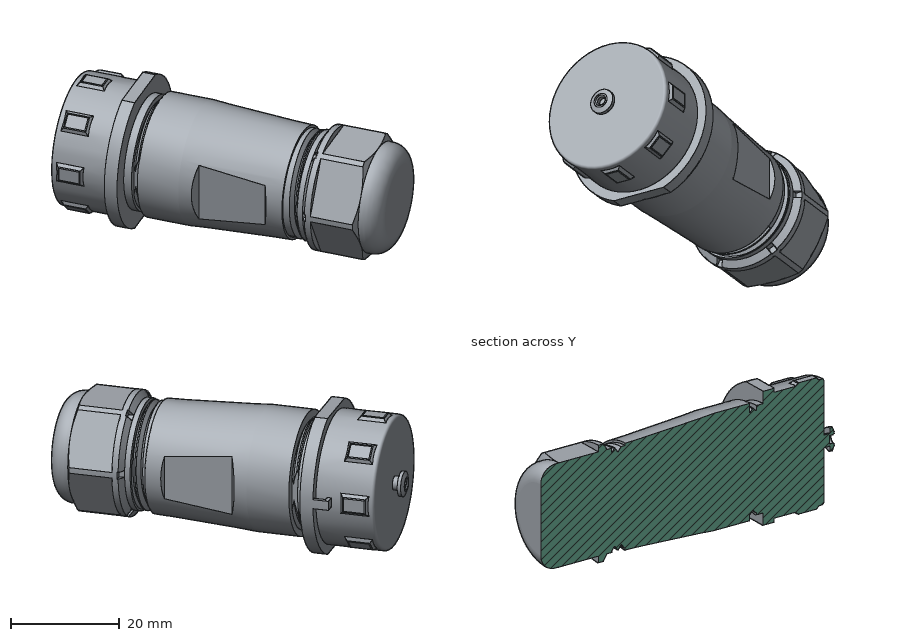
import cadquery as cq
import math


CAP_FACE_X = 2.3
FLANGE_X = 13.55
COLLAR_X = 16.05
FRONT_THREAD_X = 17.6
SLEEVE_X = 19.05
TAPER_X = 27.2
SLEEVE_END_X = 47.1
NUT_X = 50.05
NUT_CONE_X = 51.1
NUT_DISC_X = 51.95
HEX_X = 53.15
HEX_BEVEL_X = 61.4
HEX_END_X = 62.1
DOME_X = 62.7
LENGTH = 66.1

PIN_STEM_R = 1.3
PIN_HEAD_R = 2.4
PIN_FACE_R = 1.4
PIN_EDGE_X = 0.4
PIN_HEAD_X = 1.05
PIN_HOLE_R = 0.8
PIN_HOLE_DEPTH = 1.0
PIN_SINK = 0.25

CAP_R = 12.7
CAP_EDGE_R = 0.5
FLANGE_WIDTH = 29.0
FLANGE_R = FLANGE_WIDTH / 2
FLANGE_HEIGHT = 27.0
COLLAR_R = 11.05
LUG_COUNT = 8
LUG_X = 3.5
LUG_LENGTH = 5.15
LUG_WIDTH = 3.7
LUG_SLOPE = 0.45
LUG_TOP_R = 13.2
LUG_TOP_BEVEL = 0.1
LUG_ROOT_R = 12.4
HOOK_X = 10.6
HOOK_WALL = 0.8
HOOK_WIDTH = 1.8

PITCH = 1.5
FRONT_CREST_R = 10.6
FRONT_ROOT_R = 9.9
FRONT_FLAT_HALF_WIDTH = 9.8
REAR_CREST_R = 10.3
REAR_ROOT_R = 9.4
REAR_GROOVE_X = 47.7
FRONT_GROOVE_ANGLE = -90
REAR_GROOVE_ANGLE = -135
THREAD_LAND = 0.25
THREAD_CLEARANCE = 0.05
THREAD_OVERLAP = 1.3

SLEEVE_R = 11.8
TAPER_MID_R = 11.2
SLEEVE_END_R = 10.8
GRIP_HALF_WIDTH = 10.05
GRIP_START_X = 30.55
GRIP_END_X = 43.55
GRIP_SLOPE = 30.0

NUT_R = 11.8
HEX_SIDES = 6
HEX_APOTHEM = 10.5
NOTCH_WIDTH = 1.3
NOTCH_END_X = 52.15


def cylinder(start, end, radius):
    return cq.Workplane("YZ", origin=(start, 0, 0)).circle(radius).extrude(end - start)


def turned(outline):
    """Revolve an outline drawn in X and radius around the X axis."""
    return outline.close().revolve(360, (0, 0, 0), (1, 0, 0))


def block(start, end, y_range, width):
    """Box from start to end along X, between two Y values, centred on Z."""
    y_low, y_high = y_range
    size = (end - start, y_high - y_low, width)
    return cq.Workplane("XY").box(*size, centered=(False, False, True)).translate((start, y_low, 0))


def threaded_core(start, end, crest_r, root_r, groove_x, groove_end, angle):
    """Cylinder with a right-handed V groove starting at groove_x, at an angle from +Y towards +Z."""
    cutter_r = crest_r + THREAD_CLEARANCE
    half_width = (PITCH - THREAD_LAND) / 2 * (cutter_r - root_r) / (crest_r - root_r)
    helix = cq.Wire.makeHelix(PITCH, groove_end - groove_x, root_r)
    groove = (
        cq.Workplane("XZ")
        .polyline([(root_r, 0), (cutter_r, half_width), (cutter_r, -half_width)])
        .close()
        .sweep(cq.Workplane(obj=helix), isFrenet=True)
        .rotate((0, 0, 0), (1, 1, 1), 120)
        .rotate((0, 0, 0), (1, 0, 0), angle)
        .translate((groove_x, 0, 0))
    )
    return cylinder(start, end, crest_r).cut(groove)


def make_pin():
    head = turned(
        cq.Workplane("XY")
        .moveTo(0, 0)
        .lineTo(0, PIN_FACE_R)
        .lineTo(PIN_EDGE_X, PIN_HEAD_R)
        .lineTo(PIN_HEAD_X, PIN_HEAD_R)
        .lineTo(PIN_HEAD_X, 0)
    )
    hole = turned(
        cq.Workplane("XY")
        .moveTo(0, 0)
        .lineTo(0, PIN_HOLE_R + PIN_SINK)
        .lineTo(PIN_SINK, PIN_HOLE_R)
        .lineTo(PIN_HOLE_DEPTH, PIN_HOLE_R)
        .lineTo(PIN_HOLE_DEPTH, 0)
    )
    stem = cylinder(PIN_HEAD_X, CAP_FACE_X + CAP_EDGE_R, PIN_STEM_R)
    return head.union(stem).cut(hole)


def make_lugs():
    taper = math.degrees(math.atan(LUG_SLOPE / (LUG_TOP_R - CAP_R)))
    foot_growth = LUG_SLOPE * (CAP_R - LUG_ROOT_R) / (LUG_TOP_R - CAP_R)
    lug = (
        cq.Workplane("XY", origin=(LUG_X + LUG_LENGTH / 2, 0, LUG_ROOT_R))
        .rect(LUG_LENGTH + 2 * foot_growth, LUG_WIDTH + 2 * foot_growth)
        .extrude(LUG_TOP_R - LUG_ROOT_R, taper=taper)
        .faces(">Z")
        .chamfer(LUG_TOP_BEVEL)
    )
    lugs = cq.Workplane("XY")
    for i in range(LUG_COUNT):
        lugs = lugs.add(lug.rotate((0, 0, 0), (1, 0, 0), i * 360 / LUG_COUNT))
    return lugs.combine()


def make_hook():
    """L-shaped tether hook on the +Y side, reaching forward from the flange."""
    arm = block(HOOK_X, FLANGE_X, (FLANGE_R - HOOK_WALL, FLANGE_R), HOOK_WIDTH)
    leg = block(HOOK_X, HOOK_X + HOOK_WALL, (CAP_R - CAP_EDGE_R, FLANGE_R), HOOK_WIDTH)
    rim = cylinder(HOOK_X, COLLAR_X, FLANGE_R)
    return arm.union(leg).intersect(rim)


def make_cap():
    body = cylinder(CAP_FACE_X, FLANGE_X, CAP_R).faces("<X").edges().fillet(CAP_EDGE_R)
    flats = cq.Workplane("XY").box(2 * LENGTH, 2 * FLANGE_R, FLANGE_HEIGHT)
    flange = cylinder(FLANGE_X, COLLAR_X, FLANGE_R).intersect(flats)
    collar = cylinder(COLLAR_X, FRONT_THREAD_X, COLLAR_R)
    return body.union(flange).union(collar).union(make_lugs()).union(make_hook())


def make_front_thread():
    """Thread between cap and sleeve, flattened just below its root on the -Y and +Y sides."""
    start = FRONT_THREAD_X - THREAD_OVERLAP
    end = SLEEVE_X + THREAD_OVERLAP
    groove_x = (FRONT_THREAD_X + SLEEVE_X) / 2 - PITCH
    groove_end = groove_x + 2 * PITCH
    core = threaded_core(
        start, end, FRONT_CREST_R, FRONT_ROOT_R, groove_x, groove_end, FRONT_GROOVE_ANGLE
    )
    for y_range in ((-FLANGE_R, -FRONT_FLAT_HALF_WIDTH), (FRONT_FLAT_HALF_WIDTH, FLANGE_R)):
        core = core.cut(block(FRONT_THREAD_X, SLEEVE_X, y_range, 2 * FRONT_CREST_R))
    return core


def make_sleeve():
    sleeve = turned(
        cq.Workplane("XY")
        .moveTo(SLEEVE_X, 0)
        .lineTo(SLEEVE_X, SLEEVE_R)
        .lineTo(TAPER_X, SLEEVE_R)
        .threePointArc(((TAPER_X + SLEEVE_END_X) / 2, TAPER_MID_R), (SLEEVE_END_X, SLEEVE_END_R))
        .lineTo(SLEEVE_END_X, 0)
    )
    grip_depth = SLEEVE_R - GRIP_HALF_WIDTH
    flare = grip_depth * math.tan(math.radians(GRIP_SLOPE))
    grip = (
        cq.Workplane("XY")
        .moveTo(GRIP_START_X, GRIP_HALF_WIDTH)
        .lineTo(GRIP_END_X, GRIP_HALF_WIDTH)
        .lineTo(GRIP_END_X + flare, SLEEVE_R)
        .lineTo(GRIP_START_X - flare, SLEEVE_R)
        .close()
        .extrude(SLEEVE_R, both=True)
    )
    return sleeve.cut(grip).cut(grip.mirror("XZ"))


def make_rear_thread():
    """Thread between sleeve and nut; its groove starts between the -Y and -Z sides."""
    end = NUT_X + THREAD_OVERLAP
    return threaded_core(
        SLEEVE_END_X, end, REAR_CREST_R, REAR_ROOT_R, REAR_GROOVE_X, end, REAR_GROOVE_ANGLE
    )


def make_nut():
    disc = turned(
        cq.Workplane("XY")
        .moveTo(NUT_X, 0)
        .lineTo(NUT_X, HEX_APOTHEM)
        .lineTo(NUT_CONE_X, HEX_APOTHEM)
        .lineTo(NUT_DISC_X, NUT_R)
        .lineTo(HEX_X, NUT_R)
        .lineTo(HEX_X, 0)
    )
    for i in range(HEX_SIDES):
        notch = block(NUT_CONE_X, NOTCH_END_X, (HEX_APOTHEM, NUT_R), NOTCH_WIDTH)
        disc = disc.cut(notch.rotate((0, 0, 0), (1, 0, 0), i * 360 / HEX_SIDES))

    hexagon = (
        cq.Workplane("YZ", origin=(HEX_X, 0, 0))
        .polygon(HEX_SIDES, 2 * HEX_APOTHEM / math.cos(math.pi / HEX_SIDES))
        .extrude(HEX_END_X - HEX_X)
    )
    envelope = turned(
        cq.Workplane("XY")
        .moveTo(HEX_X, 0)
        .lineTo(HEX_X, NUT_R)
        .lineTo(HEX_BEVEL_X, NUT_R)
        .lineTo(HEX_END_X, HEX_APOTHEM)
        .lineTo(HEX_END_X, 0)
    )
    dome = cylinder(HEX_END_X, LENGTH, HEX_APOTHEM).faces(">X").edges().fillet(LENGTH - DOME_X)
    return disc.union(hexagon.intersect(envelope)).union(dome)


result = (
    make_pin()
    .union(make_cap())
    .union(make_front_thread())
    .union(make_sleeve())
    .union(make_rear_thread())
    .union(make_nut())
)